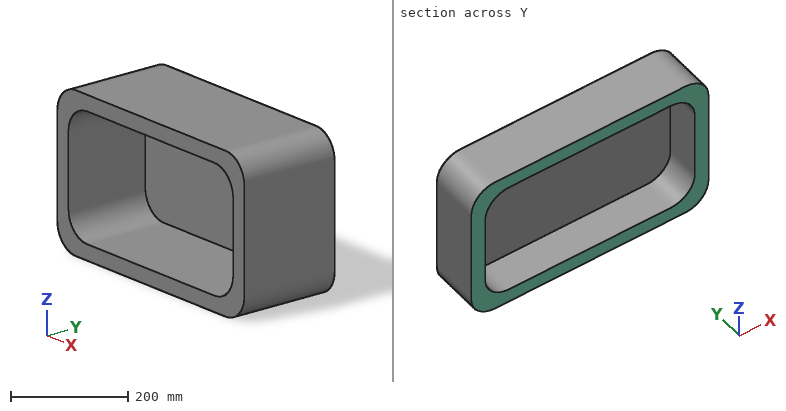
import cadquery as cq

width = 500.0
depth = 200.0
height = 300.0

wall = 30.0
corner_radius = 50.0

cavity_width = width - 2 * wall
cavity_height = height - 2 * wall
cavity_depth = depth - wall


def rounded_block(size_x, size_y, size_z):
    """Block centred on X and Z, running from Y = 0 to size_y, with its Y-parallel edges rounded."""
    block = cq.Workplane("XY").box(size_x, size_y, size_z, centered=(True, False, True))
    return block.edges("|Y").fillet(corner_radius)


body = rounded_block(width, depth, height)

cavity = rounded_block(cavity_width, cavity_depth, cavity_height)

result = body.cut(cavity)